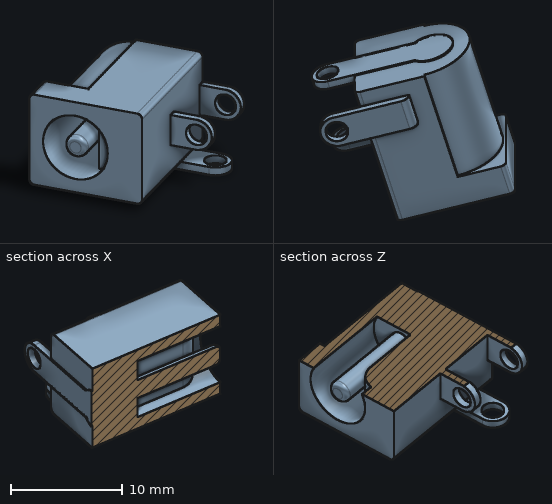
import cadquery as cq


height = 9.0
width = 11.0
body_length = 14.0
axis_to_left = height / 2
left = -axis_to_left
right = left + width
bottom = -height / 2
flange_depth = 3.0
barrel_radius = 4.25
corner_radius = 0.5

bore_radius = 3.15
bore_depth = 9.0
pin_radius = 1.05
pin_tip_fillet = 0.5
spring_radius = bore_radius - pin_radius
spring_crest_depth = 1.26

overall_width = 15.0
overall_length = 14.1
lug_thickness = 0.8
lug_width = 3.0
lug_radius = lug_width / 2
lug_reach = overall_width - width
lug_hole_radius = 1.0
lug_center_x = right + lug_reach - lug_radius
middle_lug_y = 6.6
rear_lug_y = overall_length - lug_thickness
rear_head_radius = 2.1
rear_head_x = -0.6
bottom_lug_center_y = 11.0
bottom_lug_left = 1.85
bend_radius = 0.78


def box(x_min, x_max, y_min, y_max, z_min, z_max):
    """Box given by its limits along each axis."""
    size = (x_max - x_min, y_max - y_min, z_max - z_min)
    return cq.Workplane("XY").box(*size, centered=False).translate((x_min, y_min, z_min))


def rod(radius, y_min, y_max, x=0.0):
    """Cylinder parallel to Y, centred at Z = 0."""
    plane = cq.Workplane("XZ", origin=(x, y_min, 0))
    return plane.circle(radius).extrude(y_min - y_max)


def make_housing():
    """Square front flange and right half, with a round barrel on the left."""
    block = box(left, right, 0, body_length, bottom, -bottom)
    block = block.edges("|Y").fillet(corner_radius)
    relief = box(left, 0, flange_depth, body_length, bottom, -bottom)
    return block.cut(relief).union(rod(barrel_radius, 0, body_length))


def make_socket():
    """Blind bore, less the spring bulge along its right wall and the centre pin."""
    bore = rod(bore_radius, 0, bore_depth)
    spring_y = spring_crest_depth + spring_radius
    spring_plane = cq.Workplane("XY", origin=(bore_radius, spring_y, bottom))
    spring = spring_plane.circle(spring_radius).extrude(height)
    spring = spring.union(box(pin_radius, bore_radius, spring_y, bore_depth, bottom, -bottom))
    pin = rod(pin_radius, 0, bore_depth).faces("<Y").edges().fillet(pin_tip_fillet)
    return bore.cut(spring).cut(pin)


def make_lug(x_start, y_start):
    """Flat lug normal to Y, running along X to a round end with a hole."""
    y_end = y_start + lug_thickness
    strip = box(x_start, lug_center_x, y_start, y_end, -lug_radius, lug_radius)
    lug = strip.union(rod(lug_radius, y_start, y_end, lug_center_x))
    return lug.cut(rod(lug_hole_radius, y_start, y_end, lug_center_x))


def make_bottom_lug():
    """Lug lying under the housing, with its inner end rounded as a bend."""
    lug = make_lug(bottom_lug_left, 0).rotate((0, 0, 0), (1, 0, 0), 90)
    lug = lug.translate((0, bottom_lug_center_y, bottom - lug_thickness))
    return lug.edges("|Y and <X and <Z").fillet(bend_radius)


result = make_housing().cut(make_socket())
result = result.union(make_lug(right - corner_radius, middle_lug_y))
result = result.union(make_lug(rear_head_x, rear_lug_y))
result = result.union(rod(rear_head_radius, rear_lug_y, overall_length, rear_head_x))
result = result.union(make_bottom_lug())